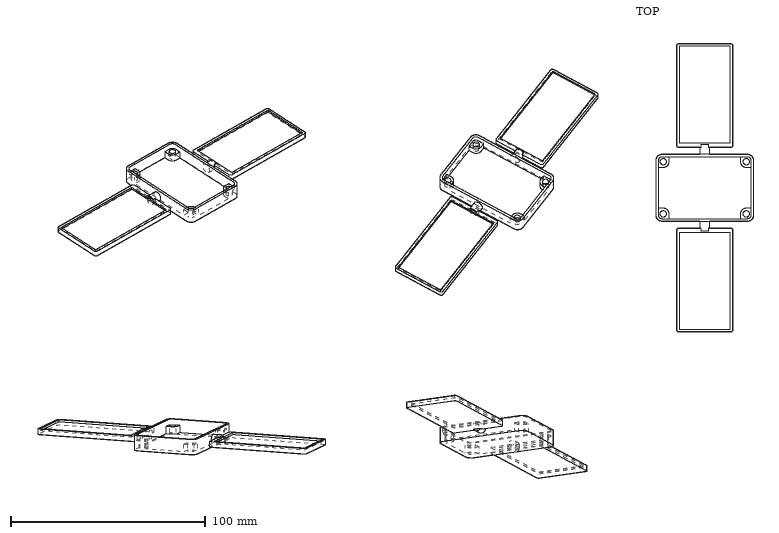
import cadquery as cq

HOUSING_X = 50.5
HOUSING_Y = 34.6
HOUSING_Z = 8.0
HOUSING_CORNER_RADIUS = 3.3
WALL = 1.3
FLOOR = 1.2

BOSS_RADIUS = 3.0
BOSS_HOLE_DIAMETER = 3.3
BOSS_INSET = 3.9
BOSS_TOP_Z = 5.0

OVERALL_Y = 148.5
PANEL_X = 29.0
PANEL_Y = 53.5
PANEL_Z = 3.0
PANEL_CORNER_RADIUS = 1.0
RECESS_DEPTH = 1.0
FRAME_SIDE = 1.5
FRAME_OUTER = 1.2
FRAME_INNER = 2.4
SHAFT_DIAMETER = 5.0
SHAFT_OVERLAP = 1.5

MID_Z = HOUSING_Z / 2
HOUSING_FACE_Y = HOUSING_Y / 2
CAVITY_X = HOUSING_X - 2 * WALL
CAVITY_Y = HOUSING_Y - 2 * WALL
CAVITY_CORNER_RADIUS = HOUSING_CORNER_RADIUS - WALL
BOSS_X = HOUSING_X / 2 - BOSS_INSET
BOSS_Y = HOUSING_Y / 2 - BOSS_INSET
PANEL_OUTER_Y = OVERALL_Y / 2
PANEL_INNER_Y = PANEL_OUTER_Y - PANEL_Y


def rounded_block(length, width, height, radius):
    """Block standing on z = 0 with its four vertical edges rounded."""
    block = cq.Workplane("XY").box(length, width, height, centered=(True, True, False))
    return block.edges("|Z").fillet(radius)


def corner_boss(side_x, side_y):
    """Boss with one round corner, filling the tray corner up to the outer faces."""
    size = BOSS_INSET + BOSS_RADIUS
    center_x = side_x * (HOUSING_X - size) / 2
    center_y = side_y * (HOUSING_Y - size) / 2
    inner_edge = ("<X" if side_x > 0 else ">X") + " and " + ("<Y" if side_y > 0 else ">Y")
    boss = cq.Workplane("XY").box(size, size, BOSS_TOP_Z, centered=(True, True, False))
    boss = boss.edges("|Z").edges(inner_edge).fillet(BOSS_RADIUS)
    return boss.translate((center_x, center_y, 0))


def make_housing():
    outer = rounded_block(HOUSING_X, HOUSING_Y, HOUSING_Z, HOUSING_CORNER_RADIUS)
    cavity = rounded_block(CAVITY_X, CAVITY_Y, HOUSING_Z - FLOOR, CAVITY_CORNER_RADIUS)
    cavity = cavity.translate((0, 0, FLOOR))

    for side_x in (-1, 1):
        for side_y in (-1, 1):
            cavity = cavity.cut(corner_boss(side_x, side_y))

    holes = (
        cq.Workplane("XY", origin=(0, 0, FLOOR))
        .rect(2 * BOSS_X, 2 * BOSS_Y, forConstruction=True)
        .vertices()
        .circle(BOSS_HOLE_DIAMETER / 2)
        .extrude(BOSS_TOP_Z - FLOOR)
    )
    return outer.cut(cavity).cut(holes)


def make_panel():
    """Panel on the +Y side, with the shaft that meets the housing face."""
    plate = rounded_block(PANEL_X, PANEL_Y, PANEL_Z, PANEL_CORNER_RADIUS)
    plate = plate.translate((0, PANEL_INNER_Y + PANEL_Y / 2, MID_Z - PANEL_Z / 2))

    recess_start_y = PANEL_INNER_Y + FRAME_INNER
    recess_y = PANEL_Y - FRAME_INNER - FRAME_OUTER
    recess = (
        cq.Workplane("XY", origin=(0, recess_start_y, MID_Z + PANEL_Z / 2 - RECESS_DEPTH))
        .box(PANEL_X - 2 * FRAME_SIDE, recess_y, RECESS_DEPTH, centered=(True, False, False))
    )

    shaft_length = PANEL_INNER_Y + SHAFT_OVERLAP - HOUSING_FACE_Y
    shaft = (
        cq.Workplane("XZ", origin=(0, HOUSING_FACE_Y, MID_Z))
        .circle(SHAFT_DIAMETER / 2)
        .extrude(-shaft_length)
    )
    return plate.cut(recess).union(shaft)


housing = make_housing()
panels = [make_panel().rotate((0, 0, 0), (0, 0, 1), angle) for angle in (0, 180)]

result = cq.Compound.makeCompound([housing.val(), *[panel.val() for panel in panels]])